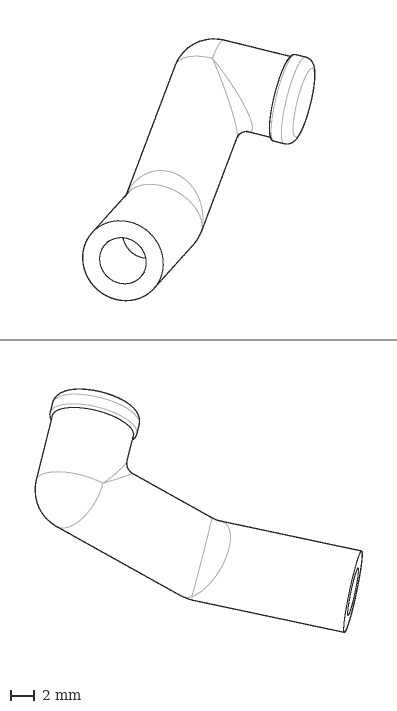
import cadquery as cq
import math

inlet = cq.Vector(0, 0, 0)
lower_bend = cq.Vector(-0.08, 13.02, -0.48)
upper_bend = cq.Vector(1.4, 24.06, 8.02)
outlet_slope = math.radians(9.2)
outlet_direction = cq.Vector(math.cos(outlet_slope), 0, -math.sin(outlet_slope))

pipe_radius = 3.5
bore_radius = 2.0
bore_depth = 7.55
lower_crease_radius = 3.0
upper_crease_radius = 1.0

cap_start = 5.98
cap_length = 1.9
cap_radius = 3.75
cap_back_rounding = 0.22
cap_end_rounding = 0.78

outlet = upper_bend + outlet_direction * cap_start


def inside_direction(bend, before, after):
    """Unit vector from a bend towards the inside of its angle."""
    return ((before - bend).normalized() + (after - bend).normalized()).normalized()


def rod(start, direction, length, radius, seam_direction=None):
    """Round bar along a direction, with its side seam facing the seam direction."""
    plane = cq.Plane(origin=start, xDir=seam_direction, normal=direction)
    return cq.Workplane(plane).circle(radius).extrude(length)


def pipe(start, end, seam_direction):
    """Solid pipe stretch between two centreline points."""
    run = end - start
    return rod(start, run, run.Length, pipe_radius, seam_direction)


def ball(center, pole_direction):
    """Sphere that rounds the outside of a bend."""
    plane = cq.Plane(origin=center, normal=pole_direction)
    return cq.Workplane(plane).sphere(pipe_radius)


def soften_crease(body, bend, before, after, radius):
    """Fillet the crease on the inside of a bend."""
    half_angle = (before - bend).getAngle(after - bend) / 2
    inside = inside_direction(bend, before, after)
    crease_point = bend + inside * (pipe_radius / math.sin(half_angle))
    crease = cq.selectors.NearestToPointSelector(crease_point.toTuple())
    return body.edges(crease).fillet(radius)


def end_cap():
    """Slightly wider cap, rounded at both rims."""
    cap = rod(outlet, outlet_direction, cap_length, cap_radius)
    cap = cap.faces(">X").edges().fillet(cap_end_rounding)
    return cap.faces("<X").edges().fillet(cap_back_rounding)


lower_outside = inside_direction(lower_bend, inlet, upper_bend) * -1
upper_outside = inside_direction(upper_bend, lower_bend, outlet) * -1

lower_pipe = pipe(inlet, lower_bend, lower_outside)
middle_pipe = pipe(lower_bend, upper_bend, lower_outside + upper_outside)
outlet_pipe = pipe(upper_bend, outlet, upper_outside)

body = lower_pipe.union(middle_pipe).union(ball(lower_bend, lower_outside))
body = body.union(outlet_pipe).union(ball(upper_bend, upper_outside))
body = soften_crease(body, lower_bend, inlet, upper_bend, lower_crease_radius)
body = soften_crease(body, upper_bend, lower_bend, outlet, upper_crease_radius)
body = body.union(end_cap())

bore = rod(inlet, lower_bend - inlet, bore_depth, bore_radius)
result = body.cut(bore)